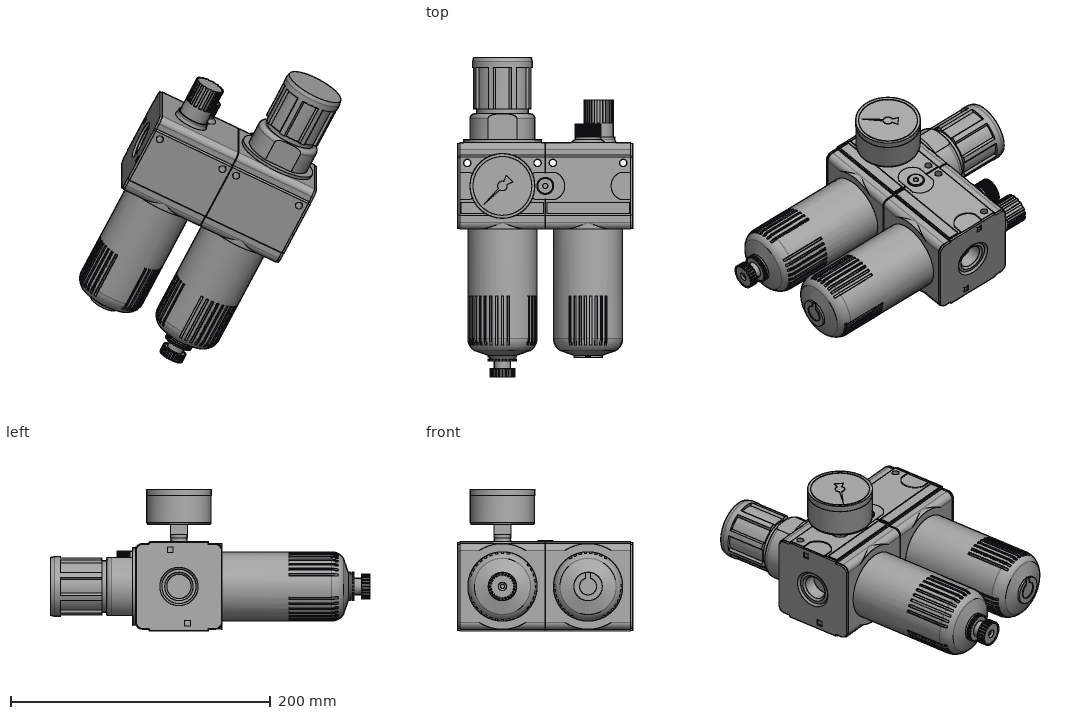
import cadquery as cq
import math


module_width = 65.5
gasket_thickness = 0.5
plate_thickness = 1.7
module_x = (gasket_thickness + module_width) / 2
block_depth = 66.7
block_height = 66.0
block_fillet = 5.2
pad_height = 69.0
pad_front_y = -23.0
pad_back_y = 22.5
pad_back_foot_y = 23.5
plate_inset = 0.5

mount_hole_dia = 5.5
mount_hole_y = 17.7
mount_hole_offset = 27.0
panel_length = 63.5
panel_front_y = -21.5
panel_back_y = -12.8
panel_depth = 0.5

key_half_width = 10.3
key_reach = 15.0
key_straight = 7.9
key_depth = 1.2
key_seat_depth = 0.7
screw_well_dia = 13.0
screw_head_dia = 11.5
screw_socket_dia = 4.0
screw_socket_depth = 1.5
screw_rise = 0.7
screw_well_depth = 0.2

port_rim_dia = 29.5
port_face_dia = 26.3
port_mouth_dia = 22.0
port_bore_dia = 18.7
port_bore_depth = 11.8
port_mouth_depth = 1.5
mark_size = 4.5
mark_depth = 1.2
mark_y = 6.6
mark_z = 28.3

collar_radius = 33.0
collar_length = 7.5
bowl_radius = 53.5 / 2
bowl_arc_start_y = -117.3
bowl_cone_y = -126.7
bowl_cone_radius = 21.6
bowl_end_y = -130.5
bowl_arc_radius = 11.3
hub_radius = 22.0 / 2
grip_top_y = -84.9
grip_width = 1.7
grip_depth = 1.35
grip_groups = 3
regulator_grips = 9
regulator_grip_pitch = 10.0
regulator_grip_turn = 30.0
lubricator_grips = 8
lubricator_grip_pitch = 9.0
lubricator_grip_turn = 0.0

bowl_cap_y = -132.0
keyhole_dia = 13.0
keyhole_slot = 3.7
keyhole_depth = 0.7

drain_collar_end_y = -134.8
drain_groove_top_y = -131.9
drain_groove_bottom_y = -133.3
drain_groove_radius = 9.8
drain_stem_radius = 6.5
drain_wheel_y = -140.7
drain_end_y = -147.0
drain_wheel_radius = 9.5
drain_wheel_teeth = 24
drain_collar_teeth = 24
drain_notch = 1.0
drain_bore_dia = 3.2
drain_mouth_dia = 6.5
drain_mouth_depth = 1.5
drain_bore_depth = 7.5

flange_radius = 59.8 / 2
flange_end_y = 35.7
bonnet_radius = 50.0 / 2
bonnet_end_y = 55.5
bonnet_fillet = 3.7
bonnet_flat_z = 22.5
neck_radius = 20.0
knob_start_y = 59.3
knob_radius = 23.1
knob_rim_y = 91.0
knob_bevel_y = 95.7
knob_end_y = 99.0
knob_end_radius = 44.5 / 2
knob_panels = 8
knob_panel_floor = 20.5
knob_panel_floor_half = 5.2
knob_panel_draft = 1.0

plug_z = 17.2
plug_radius = 20.0 / 2
plug_end_y = 47.7
plug_start_y = 37.6
plug_teeth = 40
plug_notch = 0.62
dome_x = 8.0
dome_z = -7.5
dome_radius = 23.0 / 2
dome_flute_y = 48.5
dome_end_y = 66.2
dome_flutes = 16
dome_flute_width = 2.5
dome_flute_depth = 1.0
seat_radius = 13.3
dome_shoulder_radius = 12.5
seat_top_y = 36.0

gauge_radius = 50.0 / 2
gauge_top_z = 74.8
gauge_rim_z = 69.9
case_radius = 24.8
gauge_bevel_z = 49.2
gauge_bottom_z = 47.7
gauge_bottom_radius = 24.0
dial_radius = 22.6
dial_depth = 0.5
needle_thickness = 0.2
needle_hub_radius = 3.7
needle_length = 20.2
needle_root_half = 1.0
needle_tail_start = 3.2
needle_tail_start_half = 1.7
needle_tail_end = 7.9
needle_tail_end_half = 3.7
needle_angle = 45.0
stem_square = 13.3
stem_square_z = 39.9
stem_dia = 13.0
stem_groove_dia = 12.3
stem_groove_z = 37.5

block_end_y = block_depth / 2
pad_z = pad_height / 2
cutter_overrun = 1.2


def turned(points):
    """Solid of revolution about the Y axis through (radius, y) points."""
    return cq.Workplane("XY").polyline(points).close().revolve(360, (0, 0, 0), (0, 1, 0))


def cylinder_y(radius, start_y, end_y):
    return turned([(0, start_y), (radius, start_y), (radius, end_y), (0, end_y)])


def box_between(x_range, y_range, z_range):
    """Box between pairs of limits along X, Y and Z."""
    size = [high - low for low, high in (x_range, y_range, z_range)]
    corner = (x_range[0], y_range[0], z_range[0])
    return cq.Workplane("XY").box(*size, centered=False).translate(corner)


def notch_ring(radius, width, depth, start_y, end_y, angles):
    """Cutters for straight grooves along Y; angles are degrees about Y, 0 at +Z."""
    top = radius + cutter_overrun
    cutter = box_between((-width / 2, width / 2), (start_y, end_y), (radius - depth, top)).val()
    return cq.Workplane("XY").newObject([
        cq.Compound.makeCompound([cutter.rotate((0, 0, 0), (0, 1, 0), a) for a in angles])
    ])


def even_angles(count):
    return [360 / count * i for i in range(count)]


def block(width, inset):
    """Rounded block centred on X = 0 with a raised pad on top and bottom."""
    body = (
        cq.Workplane("XY")
        .box(width, block_depth - 2 * inset, block_height - 2 * inset)
        .edges("|X").fillet(block_fillet)
    )
    pad_top = pad_z - inset
    foot_z = block_height / 2 - inset
    front = pad_front_y + inset
    back = pad_back_y - inset
    foot = pad_back_foot_y - inset
    pads = (
        cq.Workplane("YZ")
        .polyline([(front, -pad_top), (back, -pad_top), (foot, -foot_z),
                   (foot, foot_z), (back, pad_top), (front, pad_top)])
        .close().extrude(width / 2, both=True)
    )
    return body.union(pads)


def key_shape(depth):
    """Lozenge with two arced ends, centred on X = 0 and flush with the top pad."""
    w = key_half_width
    return (
        cq.Workplane("XY", origin=(0, 0, pad_z - depth))
        .moveTo(-key_straight, -w).lineTo(key_straight, -w)
        .threePointArc((key_reach, 0), (key_straight, w)).lineTo(-key_straight, w)
        .threePointArc((-key_reach, 0), (-key_straight, -w)).close()
        .extrude(depth)
    )


def module_block(side):
    """Housing block of one module about its own axis; side is the X sign of its outer end."""
    body = block(module_width, 0)
    half_width = module_width / 2
    within_width = box_between((-half_width, half_width), (-block_depth, block_depth),
                               (-block_height, block_height))
    collar = cylinder_y(collar_radius, -block_end_y, -block_end_y + collar_length)
    body = body.union(collar.intersect(within_width))

    holes = (
        cq.Workplane("XY", origin=(0, 0, -pad_z))
        .pushPoints([(-mount_hole_offset, mount_hole_y), (mount_hole_offset, mount_hole_y)])
        .circle(mount_hole_dia / 2).extrude(pad_height)
    )
    panel = box_between((-panel_length / 2, panel_length / 2), (panel_front_y, panel_back_y),
                        (pad_z - panel_depth, pad_z))
    inner_key = key_shape(key_depth).translate((-side * module_x, 0, 0))
    outer_key = key_shape(key_seat_depth).translate((side * half_width, 0, 0))

    mouth_x = half_width - port_mouth_depth
    bore_x = half_width - port_bore_depth
    port = (
        cq.Workplane("XY")
        .polyline([(bore_x, 0), (bore_x, port_bore_dia / 2), (mouth_x, port_bore_dia / 2),
                   (half_width, port_mouth_dia / 2), (half_width, 0)])
        .close().revolve(360, (0, 0, 0), (1, 0, 0))
    )
    if side < 0:
        port = port.mirror("YZ")
    return body.cut(holes).cut(panel).cut(inner_key).cut(outer_key).cut(port)


def bowl(grips, pitch, turn):
    """Bowl with a domed end and three groups of grip grooves."""
    start_y = -block_end_y
    body = (
        cq.Workplane("XY")
        .moveTo(0, start_y).lineTo(bowl_radius, start_y).lineTo(bowl_radius, bowl_arc_start_y)
        .radiusArc((bowl_cone_radius, bowl_cone_y), bowl_arc_radius)
        .lineTo(hub_radius, bowl_end_y).lineTo(0, bowl_end_y).close()
        .revolve(360, (0, 0, 0), (0, 1, 0))
    )
    middle = (grips - 1) / 2
    angles = [
        group_angle - turn + (i - middle) * pitch
        for group_angle in even_angles(grip_groups)
        for i in range(grips)
    ]
    return body.cut(notch_ring(bowl_radius, grip_width, grip_depth, bowl_cone_y, grip_top_y, angles))


def drain():
    """Manual drain under the regulator bowl: notched collar, stem and thumb wheel."""
    wheel = drain_wheel_radius
    body = turned([
        (0, bowl_end_y), (hub_radius, bowl_end_y), (hub_radius, drain_groove_top_y),
        (drain_groove_radius, drain_groove_top_y), (drain_groove_radius, drain_groove_bottom_y),
        (hub_radius, drain_groove_bottom_y), (hub_radius, drain_collar_end_y),
        (drain_stem_radius, drain_collar_end_y), (drain_stem_radius, drain_wheel_y),
        (wheel, drain_wheel_y), (wheel, drain_end_y), (0, drain_end_y),
    ])
    bore_end_y = drain_end_y + drain_bore_depth
    mouth_y = drain_end_y + drain_mouth_depth
    bore = turned([
        (0, drain_end_y), (drain_mouth_dia / 2, drain_end_y), (drain_bore_dia / 2, mouth_y),
        (drain_bore_dia / 2, bore_end_y), (0, bore_end_y),
    ])
    wheel_notches = notch_ring(wheel, drain_notch, drain_notch, drain_end_y, drain_wheel_y,
                               even_angles(drain_wheel_teeth))
    collar_notches = notch_ring(hub_radius, drain_notch, drain_notch, drain_collar_end_y,
                                drain_groove_bottom_y, even_angles(drain_collar_teeth))
    return body.cut(bore).cut(wheel_notches).cut(collar_notches)


def bowl_cap():
    """Flat disc under the lubricator bowl with a keyhole-shaped recess."""
    disc = cylinder_y(hub_radius, bowl_cap_y, bowl_end_y)
    recess_y = (bowl_cap_y, bowl_cap_y + keyhole_depth)
    round_part = cylinder_y(keyhole_dia / 2, *recess_y)
    slot = box_between((-keyhole_slot / 2, keyhole_slot / 2), recess_y, (0, hub_radius))
    return disc.cut(round_part).cut(slot)


def bonnet():
    """Flange, two-flat bonnet and the neck below the knob."""
    flange = cylinder_y(flange_radius, block_end_y, flange_end_y)
    barrel = cylinder_y(bonnet_radius, flange_end_y, bonnet_end_y)
    barrel = barrel.faces(">Y").edges().fillet(bonnet_fillet)
    across_flats = box_between((-bonnet_radius, bonnet_radius), (flange_end_y, bonnet_end_y),
                               (-bonnet_flat_z, bonnet_flat_z))
    neck = cylinder_y(neck_radius, bonnet_end_y, knob_start_y)
    return flange.union(barrel.intersect(across_flats)).union(neck)


def knob():
    """Adjusting knob with sunken grip panels below a bevelled rim."""
    body = turned([
        (0, knob_start_y), (knob_radius, knob_start_y), (knob_radius, knob_bevel_y),
        (knob_end_radius, knob_end_y), (0, knob_end_y),
    ])
    top = knob_radius + cutter_overrun
    half = knob_panel_floor_half
    top_half = half + knob_panel_draft * (top - knob_panel_floor)
    floor_radius = math.hypot(half, knob_panel_floor)
    panel = (
        cq.Workplane("XZ", origin=(0, knob_rim_y, 0))
        .moveTo(-half, knob_panel_floor)
        .threePointArc((0, floor_radius), (half, knob_panel_floor))
        .lineTo(top_half, top).lineTo(-top_half, top).close()
        .extrude(knob_rim_y - knob_start_y)
    )
    for angle in even_angles(knob_panels):
        body = body.cut(panel.rotate((0, 0, 0), (0, 1, 0), angle))
    return body


def seat(shoulder_radius):
    """Round seat on the back of the lubricator block, tapering up to a short shoulder."""
    return turned([
        (0, block_end_y), (seat_radius, block_end_y), (shoulder_radius, seat_top_y),
        (shoulder_radius, plug_start_y), (0, plug_start_y),
    ])


def filler_plug():
    head = cylinder_y(plug_radius, plug_start_y, plug_end_y)
    notches = notch_ring(plug_radius, plug_notch, plug_notch, plug_start_y, plug_end_y,
                         even_angles(plug_teeth))
    return seat(plug_radius).union(head.cut(notches))


def sight_dome():
    barrel = cylinder_y(dome_radius, block_end_y, dome_end_y)
    flutes = notch_ring(dome_radius, dome_flute_width, dome_flute_depth, dome_flute_y, dome_end_y,
                        even_angles(dome_flutes))
    return seat(dome_shoulder_radius).union(barrel.cut(flutes))


def make_regulator():
    unit = module_block(-1)
    unit = unit.union(bowl(regulator_grips, regulator_grip_pitch, regulator_grip_turn))
    unit = unit.union(drain()).union(bonnet()).union(knob())
    return unit.translate((-module_x, 0, 0))


def make_lubricator():
    unit = module_block(1)
    unit = unit.union(bowl(lubricator_grips, lubricator_grip_pitch, lubricator_grip_turn))
    unit = unit.union(bowl_cap())
    unit = unit.union(filler_plug().translate((0, 0, plug_z)))
    unit = unit.union(sight_dome().translate((dome_x, 0, dome_z)))
    return unit.translate((module_x, 0, 0))


def make_end_plate(side):
    """Cover plate on the outer end of a module, with the port opening and two square marks."""
    half = plate_thickness / 2
    opening = (
        cq.Workplane("XY")
        .polyline([(-half, 0), (-half, port_face_dia / 2), (half, port_rim_dia / 2), (half, 0)])
        .close().revolve(360, (0, 0, 0), (1, 0, 0))
    )
    marks = (
        cq.Workplane("YZ", origin=(half - mark_depth, 0, 0))
        .pushPoints([(mark_y, mark_z), (-mark_y, -mark_z)])
        .rect(mark_size, mark_size).extrude(mark_depth)
    )
    plate = block(plate_thickness, plate_inset).cut(opening).cut(marks)
    if side < 0:
        plate = plate.mirror("YZ")
    return plate.translate((side * (module_x + module_width / 2 + half), 0, 0))


def make_coupling():
    """Gasket plate between the modules with the key and its screw head on top."""
    well_floor = cq.Workplane("XY", origin=(0, 0, pad_z - screw_well_depth))
    well = well_floor.circle(screw_well_dia / 2).extrude(screw_well_depth)
    head = (
        well_floor.circle(screw_head_dia / 2).extrude(screw_well_depth + screw_rise)
        .faces(">Z").workplane().hole(screw_socket_dia, screw_socket_depth)
    )
    gasket = block(gasket_thickness, plate_inset)
    return gasket.union(key_shape(key_depth)).cut(well).union(head)


def make_gauge():
    """Round pressure gauge on a square-shouldered stem, standing on the regulator block."""
    case = (
        cq.Workplane("XZ")
        .polyline([(0, gauge_bottom_z), (gauge_bottom_radius, gauge_bottom_z),
                   (case_radius, gauge_bevel_z), (case_radius, gauge_rim_z),
                   (gauge_radius, gauge_rim_z), (gauge_radius, gauge_top_z), (0, gauge_top_z)])
        .close().revolve(360, (0, 0, 0), (0, 1, 0))
    )
    dial_z = gauge_top_z - dial_depth
    dial = cq.Workplane("XY", origin=(0, 0, dial_z)).circle(dial_radius).extrude(dial_depth)

    on_dial = cq.Workplane("XY", origin=(0, 0, dial_z))
    hub = on_dial.circle(needle_hub_radius).extrude(needle_thickness)
    pointer = (
        on_dial.polyline([(0, -needle_root_half), (0, needle_root_half), (-needle_length, 0)])
        .close().extrude(needle_thickness)
    )
    tail = (
        on_dial.polyline([(0, -needle_tail_start_half), (needle_tail_start, -needle_tail_start_half),
                          (needle_tail_end, -needle_tail_end_half), (needle_tail_end, needle_tail_end_half),
                          (needle_tail_start, needle_tail_start_half), (0, needle_tail_start_half)])
        .close().extrude(needle_thickness)
    )
    needle = hub.union(pointer).union(tail).rotate((0, 0, 0), (0, 0, 1), needle_angle)

    shoulder = (
        cq.Workplane("XY", origin=(0, 0, stem_square_z))
        .rect(stem_square, stem_square).extrude(gauge_bottom_z - stem_square_z)
    )
    stem = (
        cq.Workplane("XZ")
        .polyline([(0, pad_z), (stem_dia / 2, pad_z), (stem_groove_dia / 2, stem_groove_z),
                   (stem_dia / 2, stem_groove_z), (stem_dia / 2, stem_square_z), (0, stem_square_z)])
        .close().revolve(360, (0, 0, 0), (0, 1, 0))
    )
    gauge = case.cut(dial).union(needle).union(shoulder).union(stem)
    return gauge.translate((-module_x, 0, 0))


regulator = make_regulator()
lubricator = make_lubricator()
end_plates = [make_end_plate(side) for side in (-1, 1)]
coupling = make_coupling()
gauge = make_gauge()

bodies = [regulator, lubricator, *end_plates, coupling, gauge]

result = cq.Compound.makeCompound([body.solids().val() for body in bodies])